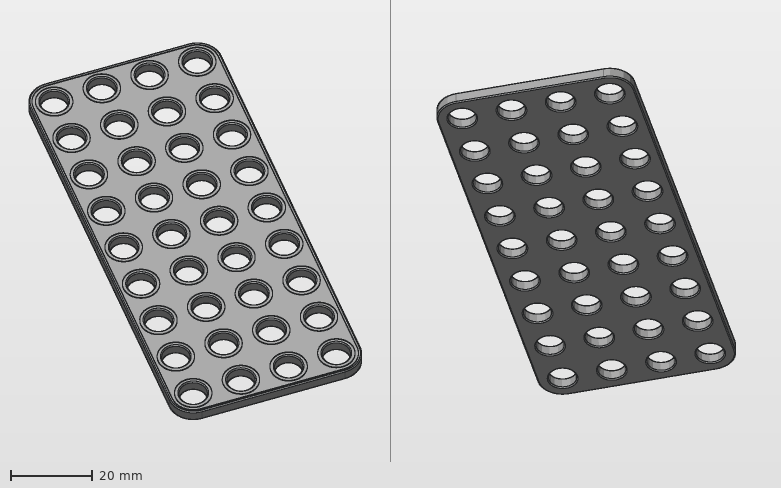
import cadquery as cq

columns = 9
rows = 4
length = 112.5
pitch = length / columns
width = rows * pitch
thickness = 3.2
corner_radius = pitch / 2
chamfer = 0.3

hole_diameter = 7.0

recess_depth = 0.2
rim_width = 0.8
collar_diameter = 9.2


def rounded_slab(size_x, size_y, height, radius):
    """Slab centred on the origin, resting on Z = 0, with rounded vertical edges."""
    slab = cq.Workplane("XY").box(size_x, size_y, height, centered=(True, True, False))
    return slab.edges("|Z").fillet(radius)


def grid_of_cylinders(diameter, height):
    """One cylinder standing on Z = 0 at every hole position."""
    grid = cq.Workplane("XY").rarray(pitch, pitch, columns, rows)
    return grid.circle(diameter / 2).extrude(height)


def make_plate():
    """Plate with its holes, every edge of both faces chamfered."""
    plate = rounded_slab(length, width, thickness, corner_radius)
    plate = plate.cut(grid_of_cylinders(hole_diameter, thickness))
    return plate.faces("<Z or >Z").edges().chamfer(chamfer)


def make_recess():
    """Material removed from the top face, inside the rim and between the collars."""
    recess = rounded_slab(
        length - 2 * rim_width,
        width - 2 * rim_width,
        recess_depth,
        corner_radius - rim_width,
    )
    recess = recess.cut(grid_of_cylinders(collar_diameter, recess_depth))
    return recess.translate((0, 0, thickness - recess_depth))


result = make_plate().cut(make_recess())